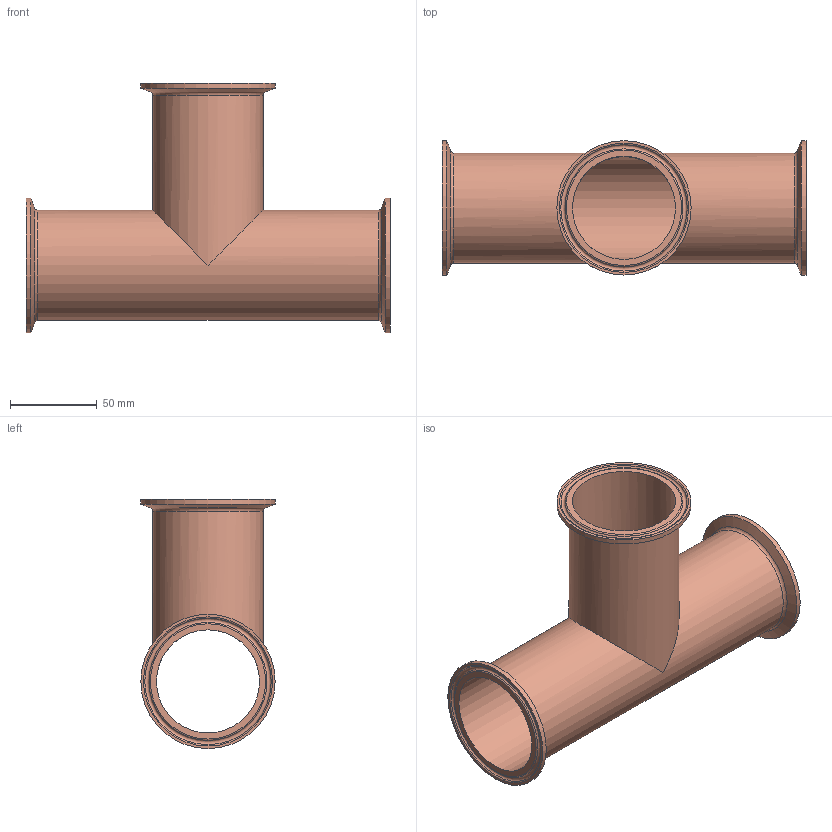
import cadquery as cq
import math

TUBE_OUTER_R = 63.5 / 2
TUBE_INNER_R = 59.5 / 2
ARM_LENGTH = 105.0

FLANGE_R = 77.5 / 2
RIM_THICKNESS = 2.85
BACK_ANGLE = math.radians(20)
NECK_FILLET_R = 2.0

GROOVE_MID_R = 70.5 / 2
GROOVE_MOUTH_HALF = 2.0
GROOVE_FLOOR_R = 1.25
GROOVE_DEPTH = 1.6
FLOOR_CENTRE_DEPTH = GROOVE_DEPTH - GROOVE_FLOOR_R
GROOVE_LIP_R = (GROOVE_MOUTH_HALF**2 + FLOOR_CENTRE_DEPTH**2 - GROOVE_FLOOR_R**2) / (2 * GROOVE_DEPTH)

ARM_DIRECTIONS = [(-1, 0, 0), (1, 0, 0), (0, 0, 1)]


def arm_plane(direction):
    """Plane at the tee centre whose normal runs along the arm."""
    return cq.Plane(origin=(0, 0, 0), xDir=(0, 1, 0), normal=direction)


def revolve_on_arm(profile):
    """Revolve a (radius, axial) profile drawn on the XZ plane about the Z axis."""
    return profile.close().revolve(360, (0, 0, 0), (0, 1, 0))


def ferrule_arm():
    """Solid tube with its clamp flange, along +Z from the tee centre."""
    rim_back = ARM_LENGTH - RIM_THICKNESS
    cone_end = rim_back - (FLANGE_R - TUBE_OUTER_R) * math.tan(BACK_ANGLE)

    half_turn = (math.pi / 2 - BACK_ANGLE) / 2
    tangent = NECK_FILLET_R * math.tan(half_turn)
    neck_start = (TUBE_OUTER_R, cone_end - tangent)
    neck_end = (
        TUBE_OUTER_R + tangent * math.cos(BACK_ANGLE),
        cone_end + tangent * math.sin(BACK_ANGLE),
    )
    neck_middle = (
        TUBE_OUTER_R + NECK_FILLET_R * (1 - math.cos(half_turn)),
        neck_start[1] + NECK_FILLET_R * math.sin(half_turn),
    )
    profile = (
        cq.Workplane("XZ")
        .lineTo(TUBE_OUTER_R, 0)
        .lineTo(*neck_start)
        .threePointArc(neck_middle, neck_end)
        .lineTo(FLANGE_R, rim_back)
        .lineTo(FLANGE_R, ARM_LENGTH)
        .lineTo(0, ARM_LENGTH)
    )
    return revolve_on_arm(profile)


def gasket_groove():
    """Ring cutter for the gasket groove in the clamp face of an arm along +Z."""
    join_angle = math.atan2(GROOVE_LIP_R - FLOOR_CENTRE_DEPTH, GROOVE_MOUTH_HALF)
    lip_mid_angle = (math.pi / 2 + join_angle) / 2

    def lip_point(side, angle):
        """Point on the inner (side -1) or outer (side +1) lip, at an angle above its centre."""
        radius = GROOVE_MID_R + side * (GROOVE_MOUTH_HALF - GROOVE_LIP_R * math.cos(angle))
        depth = GROOVE_LIP_R * (1 - math.sin(angle))
        return (radius, ARM_LENGTH - depth)

    profile = (
        cq.Workplane("XZ")
        .moveTo(GROOVE_MID_R - GROOVE_MOUTH_HALF, ARM_LENGTH)
        .threePointArc(lip_point(-1, lip_mid_angle), lip_point(-1, join_angle))
        .threePointArc((GROOVE_MID_R, ARM_LENGTH - GROOVE_DEPTH), lip_point(1, join_angle))
        .threePointArc(lip_point(1, lip_mid_angle), (GROOVE_MID_R + GROOVE_MOUTH_HALF, ARM_LENGTH))
    )
    return revolve_on_arm(profile)


def point_along(shape, direction):
    """Turn a shape built along +Z so that it runs along the given direction."""
    return cq.Workplane(obj=shape.val().moved(cq.Location(arm_plane(direction))))


def tee():
    """Three flanged, grooved arms joined at the centre and then bored out."""
    arm = ferrule_arm().cut(gasket_groove())
    bore = cq.Workplane("XY").circle(TUBE_INNER_R).extrude(ARM_LENGTH)
    body = cq.Workplane("XY")
    for direction in ARM_DIRECTIONS:
        body = body.add(point_along(arm, direction))
    body = body.combine()
    for direction in ARM_DIRECTIONS:
        body = body.cut(point_along(bore, direction))
    return body


result = tee()